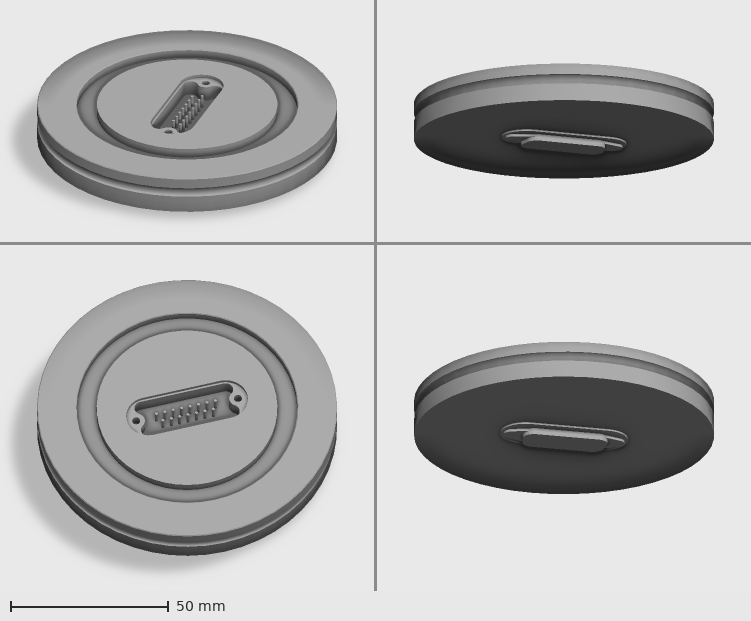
import math

import cadquery as cq

disc_radius = 47.5
disc_height = 12.1
edge_chamfer = 0.3
groove_radius = 1.5
groove_below_top = 5.0

recess_outer_radius = 35.0
recess_inner_radius = 28.6
recess_depth = 3.0

opening_half_length = 19.7
opening_half_width = 7.0
opening_depth = 1.1
cavity_half_length = 16.1
cavity_half_width = 6.5
cavity_depth = 4.8
screw_offset = 16.6
screw_boss_radius = 2.8
screw_hole_diameter = 2.6
screw_hole_depth = 3.8

pin_diameter = 0.94
pin_height = 4.2
pin_pitch = 2.8
row_spacing = 2.85
left_row_count = 7
right_row_count = 8

flange_half_length = 20.5
flange_half_width = 8.0
flange_bottom = -0.6
ear_plate_bottom = -1.4
ear_radius = 2.9
ear_taper = math.radians(17)
ear_shoulder_radius = 3.8
shell_bottom = -2.7
shell_half_width = 5.1
shell_half_length = 13.7
shell_corner_radius = 3.6
shell_end_slope = math.radians(10)

cavity_top = disc_height - opening_depth
cavity_floor = cavity_top - cavity_depth


def stadium(half_length, half_width, bottom, height):
    """Upright block with full-round ends, long side along Y."""
    return (
        cq.Workplane("XY", origin=(0, 0, bottom))
        .slot2D(2 * half_length, 2 * half_width, 90)
        .extrude(height)
    )


def make_disc():
    """Turned plate with the recess ring and the round groove in its rim."""
    recess_floor = disc_height - recess_depth
    disc = (
        cq.Workplane("XZ")
        .moveTo(0, 0)
        .lineTo(-disc_radius, 0)
        .lineTo(-disc_radius, disc_height - edge_chamfer)
        .lineTo(-disc_radius + edge_chamfer, disc_height)
        .lineTo(-recess_outer_radius - edge_chamfer, disc_height)
        .lineTo(-recess_outer_radius, disc_height - edge_chamfer)
        .lineTo(-recess_outer_radius, recess_floor)
        .lineTo(-recess_inner_radius, recess_floor)
        .lineTo(-recess_inner_radius, disc_height)
        .lineTo(0, disc_height)
        .close()
        .revolve(360, (0, 0, 0), (0, 1, 0))
    )
    groove = (
        cq.Workplane("XZ")
        .center(-disc_radius, disc_height - groove_below_top)
        .circle(groove_radius)
        .revolve(360, (disc_radius, 0, 0), (disc_radius, 1, 0))
    )
    return disc.cut(groove)


def make_cavity():
    """Deep pocket whose rounded corners run tangent into the two screw bosses."""
    end_gap = screw_offset - cavity_half_length
    half_sum = cavity_half_width + screw_boss_radius - end_gap
    corner_radius = half_sum - math.sqrt(
        half_sum**2 - cavity_half_width**2 - end_gap**2 + screw_boss_radius**2
    )
    corner_x = cavity_half_width - corner_radius
    corner_y = cavity_half_length - corner_radius
    share = corner_radius / (corner_radius + screw_boss_radius)
    touch_x = corner_x * (1 - share)
    touch_y = corner_y + (screw_offset - corner_y) * share
    boss_y = screw_offset - screw_boss_radius

    diagonal = math.sqrt(0.5) * corner_radius
    half = (
        cq.Workplane("XY", origin=(0, 0, cavity_floor))
        .moveTo(cavity_half_width, 0)
        .lineTo(cavity_half_width, corner_y)
        .threePointArc((corner_x + diagonal, corner_y + diagonal), (corner_x, cavity_half_length))
        .tangentArcPoint((touch_x, touch_y), relative=False)
        .threePointArc((0, boss_y), (-touch_x, touch_y))
        .tangentArcPoint((-corner_x, cavity_half_length), relative=False)
        .threePointArc((-corner_x - diagonal, corner_y + diagonal), (-cavity_half_width, corner_y))
        .lineTo(-cavity_half_width, 0)
        .close()
        .extrude(cavity_depth)
    )
    return half.union(half.mirror("XZ"))


def make_screw_holes():
    return (
        cq.Workplane("XY", origin=(0, 0, cavity_top - screw_hole_depth))
        .pushPoints([(0, screw_offset), (0, -screw_offset)])
        .circle(screw_hole_diameter / 2)
        .extrude(screw_hole_depth)
    )


def make_pin_row(x, count):
    """One row of evenly spaced pins along Y, centred on the X axis."""
    first_y = -pin_pitch * (count - 1) / 2
    return (
        cq.Workplane("XY", origin=(0, 0, cavity_floor))
        .pushPoints([(x, first_y + i * pin_pitch) for i in range(count)])
        .circle(pin_diameter / 2)
        .extrude(pin_height)
    )


def make_ear_plate():
    """Plate as wide as the shell, tapering to a round ear at each end."""
    tip_y = screw_offset + ear_radius / math.sin(ear_taper)
    shoulder_y = tip_y - shell_half_width / math.tan(ear_taper)
    return (
        cq.Workplane("XY")
        .polyline(
            [
                (0, -tip_y),
                (shell_half_width, -shoulder_y),
                (shell_half_width, shoulder_y),
                (0, tip_y),
                (-shell_half_width, shoulder_y),
                (-shell_half_width, -shoulder_y),
            ]
        )
        .close()
        .extrude(ear_plate_bottom)
        .edges("|Z and (>Y or <Y)")
        .fillet(ear_radius)
        .edges("|Z and (>X or <X)")
        .fillet(ear_shoulder_radius)
    )


def make_shell():
    """D-shaped shell, longer on its +X side, with all corners rounded."""
    corner_x = shell_half_width - shell_corner_radius
    corner_y = shell_half_length - shell_corner_radius
    slope = math.tan(shell_end_slope)
    end_y = corner_y - corner_x * slope + shell_corner_radius / math.cos(shell_end_slope)
    long_y = end_y + shell_half_width * slope
    short_y = end_y - shell_half_width * slope
    return (
        cq.Workplane("XY")
        .polyline(
            [
                (shell_half_width, -long_y),
                (shell_half_width, long_y),
                (-shell_half_width, short_y),
                (-shell_half_width, -short_y),
            ]
        )
        .close()
        .extrude(shell_bottom)
        .edges("|Z")
        .fillet(shell_corner_radius)
    )


opening = stadium(opening_half_length, opening_half_width, cavity_top, opening_depth)
flange = stadium(flange_half_length, flange_half_width, flange_bottom, -flange_bottom)
underside = make_ear_plate().union(make_shell())

result = (
    make_disc()
    .cut(opening)
    .cut(make_cavity())
    .cut(make_screw_holes())
    .union(make_pin_row(-row_spacing / 2, left_row_count))
    .union(make_pin_row(row_spacing / 2, right_row_count))
    .union(flange)
    .union(underside)
)